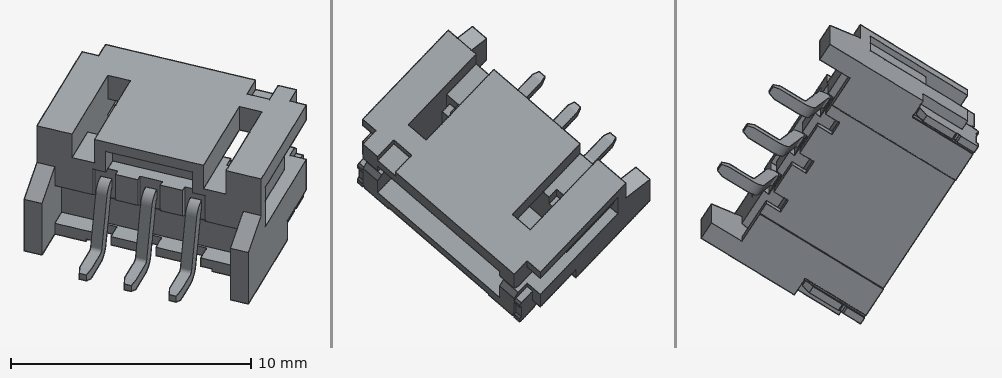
import cadquery as cq
import math


width = 10.0
height = 5.6
underside = 0.05
mating_face = 0.0
front_face = -6.1
half_width = width / 2

cheek_width = 0.8
cheek_front = -7.6
cheek_low_top = 2.8
cheek_high_top = 3.65

side_depth = 0.74
corner_depth = 0.8
side_floor = 2.7
side_top = 4.8
side_recess_end = -5.6
side_slot_top = 3.52
side_slot_depth = 1.9
lip_chamfer = 0.25
pad_inset = 0.25
pad_start = -2.7
tab_pocket_end = -3.0
tab_pocket_top = 1.08

cavity_floor = 0.95
cavity_top = 4.35
cavity_end = -3.8
slot_width = 1.0
slot_center = 2.93
slot_start = -1.9
cavity_width = 2 * slot_center + slot_width
key_notch_depth = 0.5
key_notch_length = 1.0
pocket_end = -4.27
pocket_floor = 3.5
left_pocket_width = 0.66
right_pocket_width = 0.48
right_gap_width = 0.18

window_width = 3.86
window_top = 5.1
window_floor = 4.0
window_depth = 0.8
niche_width = 1.0
niche_floor = 2.5
niche_depth = 0.25
undercut_depth = 0.8
undercut_face_top = 2.64
undercut_wall_top = 2.12
base_plate_top = 0.63
lead_notch_width = 0.6
lead_notch_depth = 0.7
relief_width = 5.6
relief_top = 0.18
tab_heel_depth = 0.1

pitch = 2.0
lead_count = 3
lead_size = 0.5
lead_top = 3.51
lead_root = -5.5
lead_bend = -6.31
lead_lean = 14.0
lead_end = -8.6
tip_length = 0.3
tip_size = 0.32
upper_bend_radius = 0.13
lower_bend_radius = 0.18

tab_thickness = 0.31
tab_top = 2.29
tab_end = -2.88
tab_foot_end = -2.54
tab_slope_top = 0.44
tab_corner = 0.1
tab_step = 0.1
tab_step_low = 0.4
tab_step_high = 1.9
tab_groove_start = -0.86
tab_groove_end = -1.1
tab_groove_depth = 0.1
tab_groove_flare = 0.07


def block(x_range, y_range, z_range):
    """Box between two limits on each axis."""
    spans = [abs(b - a) for a, b in (x_range, y_range, z_range)]
    corner = (min(x_range), min(y_range), min(z_range))
    return cq.Workplane("XY").box(*spans, centered=False).translate(corner)


def centered(span, middle=0.0):
    return (middle - span / 2, middle + span / 2)


def profile(points, x_range):
    """Closed (Y, Z) outline extruded between two X limits."""
    start, end = x_range
    return cq.Workplane("YZ").workplane(offset=start).polyline(points).close().extrude(end - start)


def both_sides(shape):
    return shape.union(shape.mirror("YZ"))


def shell():
    """Main block with its two cheeks."""
    body = block(centered(width), (front_face, mating_face), (underside, height))
    cheek_outline = [
        (front_face, underside),
        (cheek_front, underside),
        (cheek_front, cheek_low_top),
        (front_face, cheek_high_top),
    ]
    cheek = profile(cheek_outline, (-half_width, -half_width + cheek_width))
    return body.union(both_sides(cheek))


def side_cuts():
    """Recess in each side wall, with its raised pad, plus the corner, solder tab and tab heel pockets."""
    inner = -half_width + side_depth
    skin = (-half_width, inner)
    recess = block(skin, (side_recess_end, mating_face), (side_floor, side_top))
    pad = block((-half_width + pad_inset, inner), (side_recess_end, pad_start), (side_slot_top, side_top))
    corner = block(skin, (-corner_depth, mating_face), (underside, height))
    tab_pocket = block(skin, (tab_pocket_end, mating_face), (underside, tab_pocket_top))
    heel = block((inner, inner + tab_heel_depth), (tab_pocket_end, mating_face), (underside, relief_top))
    return both_sides(recess.cut(pad).union(corner).union(tab_pocket).union(heel))


def side_slot():
    """Slot across the mating end, with bevelled lips."""
    outline = [
        (mating_face, side_floor - lip_chamfer),
        (mating_face - lip_chamfer, side_floor),
        (mating_face - side_slot_depth, side_floor),
        (mating_face - side_slot_depth, side_slot_top),
        (mating_face - lip_chamfer, side_slot_top),
        (mating_face, side_slot_top + lip_chamfer),
    ]
    return profile(outline, centered(width))


def plug_cavity():
    """Cavity open at the mating face, with the small pockets in its end wall."""
    pocket_y = (pocket_end, cavity_end)
    slot_left = -slot_center - slot_width / 2
    slot_right = slot_center + slot_width / 2
    gap_left = slot_right - right_gap_width
    cavity = block(centered(cavity_width), (cavity_end, mating_face), (cavity_floor, cavity_top))
    left_pocket = block((slot_left, slot_left + left_pocket_width), pocket_y, (pocket_floor, cavity_top))
    right_pocket = block((gap_left - right_pocket_width, gap_left), pocket_y, (pocket_floor, cavity_top))
    right_gap = block((gap_left, slot_right), pocket_y, (cavity_floor, cavity_top))
    return cavity.union(left_pocket).union(right_pocket).union(right_gap)


def roof_cuts():
    """Two roof slots open to the front, and the key notch at the mating edge."""
    roof_slot = block(centered(slot_width, slot_center), (front_face, slot_start), (cavity_top, height))
    key_notch = block(
        centered(slot_width, slot_center),
        (mating_face - key_notch_length, mating_face),
        (height - key_notch_depth, height),
    )
    return both_sides(roof_slot).union(key_notch)


def front_cuts():
    """Window, undercut, underside relief, and a niche and base notch for each lead."""
    wall = front_face + undercut_depth
    undercut_outline = [
        (front_face, base_plate_top),
        (front_face, undercut_face_top),
        (wall, undercut_wall_top),
        (wall, base_plate_top),
    ]
    cuts = profile(undercut_outline, centered(width - 2 * cheek_width))
    window_y = (front_face, front_face + window_depth)
    cuts = cuts.union(block(centered(window_width), window_y, (window_floor, window_top)))
    relief = block(centered(relief_width), (front_face, mating_face), (underside, relief_top))
    cuts = cuts.union(relief)
    for x in lead_positions:
        niche_y = (front_face, front_face + niche_depth)
        notch_y = (front_face, front_face + lead_notch_depth)
        niche = block(centered(niche_width, x), niche_y, (niche_floor, window_floor))
        notch = block(centered(lead_notch_width, x), notch_y, (underside, base_plate_top))
        cuts = cuts.union(niche).union(notch)
    return cuts


def lead():
    """Gull-wing lead: buried root, leaning leg, flat foot and tapered tip."""
    lean = math.radians(lead_lean)
    leg_depth = lead_size / math.cos(lean)

    def leg_front(z):
        return lead_bend - (lead_top - z) * math.tan(lean)

    leg_top = lead_top - lead_size
    outer_upper = (leg_front(lead_top), lead_top)
    inner_upper = (leg_front(leg_top) + leg_depth, leg_top)
    inner_lower = (leg_front(lead_size), lead_size)
    outer_lower = (leg_front(0) + leg_depth, 0)
    tip_start = lead_end + tip_length
    outline = [
        (lead_root, lead_top),
        outer_upper,
        inner_lower,
        (tip_start, lead_size),
        (tip_start, 0),
        outer_lower,
        inner_upper,
        (lead_root, leg_top),
    ]
    bar = profile(outline, centered(lead_size))
    bends = [
        (outer_upper, upper_bend_radius + lead_size),
        (inner_upper, upper_bend_radius),
        (inner_lower, lower_bend_radius),
        (outer_lower, lower_bend_radius + lead_size),
    ]
    for corner, radius in bends:
        bar = bar.edges(cq.selectors.NearestToPointSelector((0, *corner))).fillet(radius)
    tip = (
        cq.Workplane("XZ", origin=(0, tip_start, lead_size / 2))
        .rect(lead_size, lead_size)
        .workplane(offset=tip_length)
        .rect(tip_size, tip_size)
        .loft(combine=True)
    )
    return bar.union(tip)


def solder_tabs():
    """L-shaped plates that fill the corner and tab pockets."""
    outline = [
        (mating_face, 0),
        (tab_groove_start, 0),
        (tab_groove_start - tab_groove_flare, tab_groove_depth),
        (tab_groove_end + tab_groove_flare, tab_groove_depth),
        (tab_groove_end, 0),
        (tab_foot_end, 0),
        (tab_end, tab_slope_top),
        (tab_end, tab_pocket_top),
        (-corner_depth, tab_pocket_top),
        (-corner_depth, tab_top),
        (mating_face - tab_corner, tab_top),
        (mating_face, tab_top - tab_corner),
        (mating_face, tab_step_high),
        (mating_face - tab_step, tab_step_high - tab_step),
        (mating_face - tab_step, tab_step_low + tab_step),
        (mating_face, tab_step_low),
    ]
    inner = -half_width + side_depth
    return both_sides(profile(outline, (inner - tab_thickness, inner)))


lead_positions = [(i - (lead_count - 1) / 2) * pitch for i in range(lead_count)]

housing = shell()
for cut in (side_cuts(), side_slot(), plug_cavity(), roof_cuts(), front_cuts()):
    housing = housing.cut(cut)

result = housing.union(solder_tabs())
for lead_x in lead_positions:
    result = result.union(lead().translate((lead_x, 0, 0)))